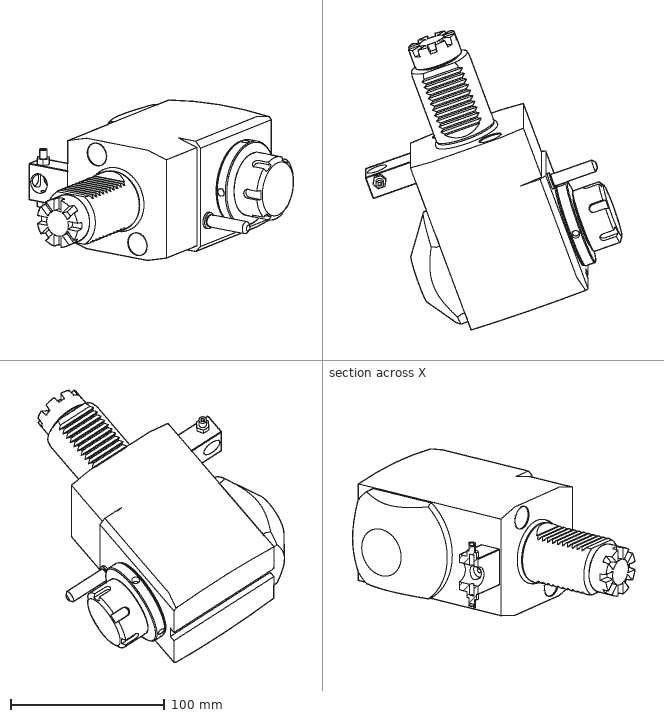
import cadquery as cq

HALF_HEIGHT = 37.5
BODY_LENGTH = 116.0
SIDE_X = 39.2
BEVEL_X = 24.3
SIDE_Z = 33.4
WIDE_X = 42.0
WIDE_BEVEL_X = 38.0
STEP_Y = 35.0
KEYWAY_WIDTH = 10.5
KEYWAY_DEPTH = 4.0
SEAT_RADIUS = 7.6
SEAT_X = 16.1
SEAT_Z = 27.8
SEAT_DEPTH = 0.8

CROWN_X = 8.0
CROWN_DEPTH_TO_AXIS = 315.0
CROWN_SLOPE = 0.19
CROWN_PEAK_Y = 112.5

SPINDLE_Y = 80.0

COVER_RADIUS = 40.5
COVER_TIP_RADIUS = 16.0
COVER_SHOULDER_X = -44.7
COVER_TIP_X = -62.2
COVER_LIP_X = -41.5
COVER_FLAT_Z = 32.7
COVER_FLAT_Y = BODY_LENGTH - KEYWAY_DEPTH

SHANK_RADIUS = 20.0
SHANK_END = 52.6
COLLAR_RADIUS = 21.4
COLLAR_LENGTH = 2.2
COLLAR_ROUND = 1.1
SHANK_NECK_RADIUS = 19.6
SHANK_START = 3.3
END_TAPER_LENGTH = 2.8
END_TAPER = 0.6
TOOTH_PITCH = 4.0
TOOTH_COUNT = 10
FIRST_VALLEY = 11.2
TOOTH_CREST_Z = 16.1
TOOTH_VALLEY_Z = 14.3
CREST_WIDTH = 0.9
RAMP_START = 4.7

DRIVE_NECK_RADIUS = 13.0
DRIVE_RADIUS = 16.1
DRIVE_START = 54.0
DRIVE_END = 68.0
DRIVE_EDGE = 0.4
HUB_RADIUS = 8.6
DRIVE_SLOT_FLOOR_WIDTH = 4.3
DRIVE_SLOT_MOUTH_WIDTH = 5.4
DRIVE_SLOT_DEPTH = 4.7
DRIVE_SLOT_COUNT = 8

RING_RADIUS = 28.0
RING_START_X = 42.8
RING_END_X = 50.5
RING_EDGE = 0.7
RING_HOLE_RADIUS = 2.5
RING_HOLE_DEPTH = 6.0
RING_HOLE_X = 46.4
RING_HOLE_COUNT = 4
SPINDLE_NECK_RADIUS = 16.5
NUT_RADIUS = 21.0
NUT_START_X = 51.5
NUT_TAPER_X = 69.9
NUT_END_X = 72.1
NUT_END_RADIUS = 17.8
NUT_EDGE = 0.5
NUT_SLOT_START_X = 59.6
NUT_SLOT_WIDTH = 6.0
NUT_SLOT_FLOOR = 18.5
NUT_SLOT_COUNT = 6

PIN_Y = 43.2
PIN_Z = -17.5
PIN_RADIUS = 4.0
PIN_END_X = 74.24
PIN_TIP_CHAMFER = 2.0
PIN_COLLAR_RADIUS = 5.4
PIN_COLLAR_LENGTH = 1.3
PIN_NECK_RADIUS = 3.6
PIN_NECK_END_X = 44.0

BLOCK_LEFT_X = -70.9
BLOCK_FRONT_Y = 1.1
BLOCK_BACK_Y = 16.2
BLOCK_HALF_Z = 12.4
BLOCK_EDGE = 0.4
BORE_X = -62.8
BORE_RADIUS = 6.5
SIDE_BORE_Y = 7.7
SIDE_BORE_RADIUS = 4.6
SIDE_BORE_END_X = -52.5
FEED_RADIUS = 1.5
FEED_LENGTH = 5.0
SCREW_Y = 6.2
SCREW_RADIUS = 2.5
SCREW_TOP_Z = 22.0
SCREW_NUT_TOP_Z = 16.3
SCREW_NUT_ACROSS_CORNERS = 9.0
SOCKET_RADIUS = 1.2
SOCKET_DEPTH = 2.0
CROSS_DRILL_HALF_Z = 14.0

OVERLAP = 1.0


def rod_x(radius, start_x, end_x, y, z):
    """Cylinder parallel to X."""
    plane = cq.Workplane("YZ", origin=(start_x, y, z))
    return plane.circle(radius).extrude(end_x - start_x)


def turned_x(profile):
    """Solid of revolution about the spindle axis from (x, radius) points."""
    axis_plane = cq.Workplane("XY", origin=(0, SPINDLE_Y, 0))
    return axis_plane.polyline(profile).close().revolve(360, (0, 0, 0), (1, 0, 0))


def beveled_prism(right_x, right_bevel_x, start_y, end_y):
    """Housing section with its four long edges beveled, running along Y."""
    upper = [
        (-SIDE_X, SIDE_Z),
        (-BEVEL_X, HALF_HEIGHT),
        (right_bevel_x, HALF_HEIGHT),
        (right_x, SIDE_Z),
    ]
    lower = [(x, -z) for x, z in reversed(upper)]
    plane = cq.Workplane("XZ", origin=(0, start_y, 0))
    return plane.polyline(upper + lower).close().extrude(start_y - end_y)


def crown_cone(side):
    """Wide cone whose surface rounds the rear end; side is +1 (top) or -1 (bottom)."""
    radius_at_face = CROWN_DEPTH_TO_AXIS + CROWN_SLOPE * CROWN_PEAK_Y
    radius_at_rear = radius_at_face - CROWN_SLOPE * BODY_LENGTH
    axis_z = side * (HALF_HEIGHT - CROWN_DEPTH_TO_AXIS)
    cone = cq.Solid.makeCone(
        radius_at_face,
        radius_at_rear,
        BODY_LENGTH,
        pnt=cq.Vector(CROWN_X, 0, axis_z),
        dir=cq.Vector(0, 1, 0),
    )
    return cq.Workplane(cone)


def make_housing():
    housing = beveled_prism(SIDE_X, BEVEL_X, 0, STEP_Y)
    housing = housing.union(beveled_prism(WIDE_X, WIDE_BEVEL_X, STEP_Y, BODY_LENGTH))
    for side in (1, -1):
        housing = housing.intersect(crown_cone(side))
        seat = (
            cq.Workplane("XZ")
            .center(-side * SEAT_X, side * SEAT_Z)
            .circle(SEAT_RADIUS)
            .extrude(-SEAT_DEPTH)
        )
        housing = housing.cut(seat)
    keyway = cq.Workplane("XY").box(4 * WIDE_X, 2 * KEYWAY_DEPTH, KEYWAY_WIDTH)
    return housing.cut(keyway.translate((0, BODY_LENGTH, 0)))


def make_cover():
    """Domed cover trimmed flat at the rear and in line with the side bevels."""
    root_x = -SIDE_X + OVERLAP
    dome = turned_x([
        (root_x, 0),
        (root_x, COVER_RADIUS),
        (COVER_SHOULDER_X, COVER_RADIUS),
        (COVER_TIP_X, COVER_TIP_RADIUS),
        (COVER_TIP_X, 0),
    ])
    bevel_slope = (HALF_HEIGHT - SIDE_Z) / (SIDE_X - BEVEL_X)
    tip_z = COVER_FLAT_Z - bevel_slope * (COVER_LIP_X - COVER_TIP_X)
    envelope = (
        cq.Workplane("XZ", origin=(0, COVER_FLAT_Y, 0))
        .polyline([
            (root_x, COVER_FLAT_Z),
            (COVER_LIP_X, COVER_FLAT_Z),
            (COVER_TIP_X, tip_z),
            (COVER_TIP_X, -tip_z),
            (COVER_LIP_X, -COVER_FLAT_Z),
            (root_x, -COVER_FLAT_Z),
        ])
        .close()
        .extrude(2 * COVER_RADIUS)
    )
    return dome.intersect(envelope)


def tooth_cutter(side):
    """Cutter leaving a ramped, serrated flat on the shank; side is +1 or -1 in Z."""
    shank_clear_y = (SHANK_END + DRIVE_START) / 2
    half_gap = (TOOTH_PITCH - CREST_WIDTH) / 2
    profile = [
        (-RAMP_START, SHANK_RADIUS),
        (-(FIRST_VALLEY - half_gap - CREST_WIDTH), TOOTH_CREST_Z),
    ]
    for tooth in range(TOOTH_COUNT):
        valley = FIRST_VALLEY + tooth * TOOTH_PITCH
        profile.append((-(valley - half_gap), TOOTH_CREST_Z))
        profile.append((-valley, TOOTH_VALLEY_Z))
        profile.append((-(valley + half_gap), TOOTH_CREST_Z))
    profile.append((-shank_clear_y, TOOTH_CREST_Z))
    profile.append((-shank_clear_y, SHANK_RADIUS))
    mirrored = [(y, side * z) for y, z in profile]
    plane = cq.Workplane("YZ")
    return plane.polyline(mirrored).close().extrude(SHANK_RADIUS, both=True)


def make_shank():
    round_start = (COLLAR_RADIUS, COLLAR_ROUND - COLLAR_LENGTH)
    round_end = (COLLAR_RADIUS - COLLAR_ROUND, -COLLAR_LENGTH)
    behind_collar = [
        (SHANK_NECK_RADIUS, -COLLAR_LENGTH),
        (SHANK_RADIUS, -SHANK_START),
        (SHANK_RADIUS, END_TAPER_LENGTH - SHANK_END),
        (SHANK_RADIUS - END_TAPER, -SHANK_END),
        (DRIVE_NECK_RADIUS, -SHANK_END),
        (DRIVE_NECK_RADIUS, -DRIVE_START),
        (DRIVE_RADIUS - DRIVE_EDGE, -DRIVE_START),
        (DRIVE_RADIUS, -DRIVE_START - DRIVE_EDGE),
        (DRIVE_RADIUS, -DRIVE_END),
        (0, -DRIVE_END),
    ]
    shank = (
        cq.Workplane("XY")
        .moveTo(0, OVERLAP)
        .lineTo(COLLAR_RADIUS, OVERLAP)
        .lineTo(*round_start)
        .tangentArcPoint(round_end, relative=False)
        .polyline(behind_collar, includeCurrent=True)
        .close()
        .revolve(360, (0, 0, 0), (0, 1, 0))
    )
    for side in (1, -1):
        shank = shank.cut(tooth_cutter(side))
    return shank.cut(drive_slots())


def drive_slots():
    """Radial end slots, wider at the mouth, that stop at the central hub."""
    half_floor = DRIVE_SLOT_FLOOR_WIDTH / 2
    half_mouth = DRIVE_SLOT_MOUTH_WIDTH / 2
    floor_y = DRIVE_SLOT_DEPTH - DRIVE_END
    slots = (
        cq.Workplane("XY")
        .polyline([
            (-half_floor, floor_y),
            (half_floor, floor_y),
            (half_mouth, -DRIVE_END),
            (-half_mouth, -DRIVE_END),
        ])
        .close()
        .extrude(SHANK_RADIUS, both=True)
    )
    slot_pairs = DRIVE_SLOT_COUNT // 2
    first = slots
    for pair in range(1, slot_pairs):
        angle = pair * 180.0 / slot_pairs
        slots = slots.union(first.rotate((0, 0, 0), (0, 1, 0), angle))
    hub = cq.Workplane("XZ").circle(HUB_RADIUS).extrude(DRIVE_END)
    return slots.cut(hub)


def around_spindle(cutter, angle):
    return cutter.rotate((0, SPINDLE_Y, 0), (1, SPINDLE_Y, 0), angle)


def make_spindle():
    spindle = turned_x([
        (WIDE_X - OVERLAP, 0),
        (WIDE_X - OVERLAP, RING_RADIUS - RING_EDGE),
        (RING_START_X, RING_RADIUS - RING_EDGE),
        (RING_START_X + RING_EDGE, RING_RADIUS),
        (RING_END_X - RING_EDGE, RING_RADIUS),
        (RING_END_X, RING_RADIUS - RING_EDGE),
        (RING_END_X, SPINDLE_NECK_RADIUS),
        (NUT_START_X, SPINDLE_NECK_RADIUS),
        (NUT_START_X, NUT_RADIUS - NUT_EDGE),
        (NUT_START_X + NUT_EDGE, NUT_RADIUS),
        (NUT_TAPER_X, NUT_RADIUS),
        (NUT_END_X, NUT_END_RADIUS),
        (NUT_END_X, 0),
    ])
    ring_hole = (
        cq.Workplane("XY", origin=(RING_HOLE_X, SPINDLE_Y, RING_RADIUS - RING_HOLE_DEPTH))
        .circle(RING_HOLE_RADIUS)
        .extrude(2 * RING_HOLE_DEPTH)
    )
    for index in range(RING_HOLE_COUNT):
        spindle = spindle.cut(around_spindle(ring_hole, index * 360.0 / RING_HOLE_COUNT))

    slot_length = 2 * (NUT_END_X - NUT_SLOT_START_X)
    nut_slot = (
        cq.Workplane("XY", origin=(NUT_END_X, SPINDLE_Y, NUT_SLOT_FLOOR))
        .slot2D(slot_length, NUT_SLOT_WIDTH)
        .extrude(NUT_RADIUS)
    )
    slot_angle = 360.0 / NUT_SLOT_COUNT
    for index in range(NUT_SLOT_COUNT):
        spindle = spindle.cut(around_spindle(nut_slot, (index + 0.5) * slot_angle))
    return spindle


def make_pin():
    root_x = WIDE_X - OVERLAP
    pin = rod_x(PIN_RADIUS, PIN_NECK_END_X, PIN_END_X, PIN_Y, PIN_Z)
    pin = pin.faces(">X").chamfer(PIN_TIP_CHAMFER)
    pin = pin.union(rod_x(PIN_NECK_RADIUS, root_x, PIN_NECK_END_X, PIN_Y, PIN_Z))
    collar_end = WIDE_X + PIN_COLLAR_LENGTH
    return pin.union(rod_x(PIN_COLLAR_RADIUS, root_x, collar_end, PIN_Y, PIN_Z))


def make_block_screw():
    """Upright screw with its lock nut on top of the coolant block."""
    root_z = BLOCK_HALF_Z - OVERLAP
    base = cq.Workplane("XY", origin=(BORE_X, SCREW_Y, root_z))
    nut = base.polygon(6, SCREW_NUT_ACROSS_CORNERS).extrude(SCREW_NUT_TOP_Z - root_z)
    stud = base.circle(SCREW_RADIUS).extrude(SCREW_TOP_Z - root_z)
    stud = stud.faces(">Z").workplane().circle(SOCKET_RADIUS).cutBlind(-SOCKET_DEPTH)
    return nut.union(stud)


def make_coolant_block():
    length = OVERLAP - SIDE_X - BLOCK_LEFT_X
    depth = BLOCK_BACK_Y - BLOCK_FRONT_Y
    block = (
        cq.Workplane("XY")
        .box(length, depth, 2 * BLOCK_HALF_Z, centered=(False, False, True))
        .translate((BLOCK_LEFT_X, BLOCK_FRONT_Y, 0))
        .edges("|X or <X")
        .chamfer(BLOCK_EDGE)
    )
    screw = make_block_screw()
    block = block.union(screw).union(screw.mirror("XY"))
    main_bore = cq.Workplane("XZ").center(BORE_X, 0).circle(BORE_RADIUS).extrude(-BLOCK_BACK_Y)
    side_bore = rod_x(SIDE_BORE_RADIUS, BLOCK_LEFT_X, SIDE_BORE_END_X, SIDE_BORE_Y, 0)
    feed = rod_x(FEED_RADIUS, SIDE_BORE_END_X, SIDE_BORE_END_X + FEED_LENGTH, SIDE_BORE_Y, 0)
    cross_drill = (
        cq.Workplane("XY")
        .center(BORE_X, SCREW_Y)
        .circle(FEED_RADIUS)
        .extrude(CROSS_DRILL_HALF_Z, both=True)
    )
    for cutter in (main_bore, side_bore, feed, cross_drill):
        block = block.cut(cutter)
    return block


result = (
    make_housing()
    .union(make_cover())
    .union(make_shank())
    .union(make_spindle())
    .union(make_pin())
    .union(make_coolant_block())
)